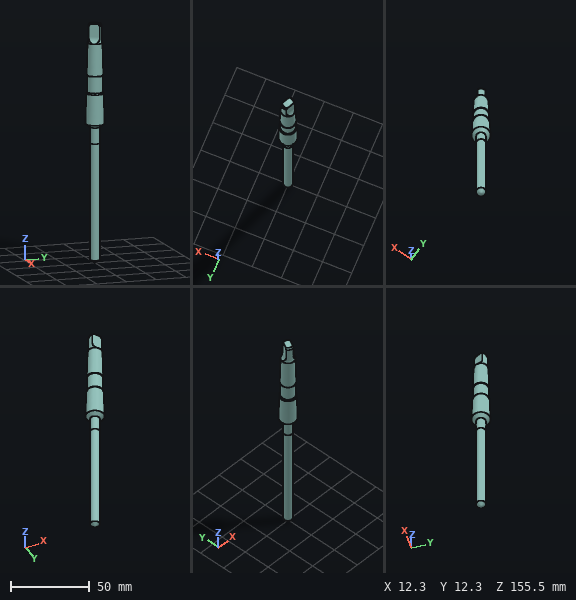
import cadquery as cq
import math

total_length = 155.5

drill_diameter = 6.4
point_angle = 118.0
cutting_length = 77.6

shank_bottom_z = 90.2
shank_bottom_cone_height = 2.2
shank_diameter = 12.3
taper_ratio = 0.05
relief_diameter = 10.1
relief_bottom_z = 110.9
relief_bottom_chamfer = 1.0
relief_top_z = 121.7
relief_top_chamfer = 0.3
taper_top_z = 142.8

tang_diameter = 8.7
tang_shoulder_height = 1.5
tang_chamfer_height = 1.4
tang_crown_height = 0.2
tang_chamfer_width = 0.8
tang_thickness = 5.0
tang_angle = -28.0
flat_end_z = 147.0
flat_runout_radius = 5.0

drill_radius = drill_diameter / 2
point_height = drill_radius / math.tan(math.radians(point_angle / 2))


def taper_radius(z):
    """Radius of the tapered shank at height z."""
    return (shank_diameter - taper_ratio * (z - shank_bottom_z)) / 2


def make_cutting_part():
    """Pointed lower end of the drill."""
    profile = [
        (0, 0),
        (drill_radius, point_height),
        (drill_radius, cutting_length),
        (0, cutting_length),
    ]
    return cq.Workplane("XZ").polyline(profile).close().revolve(360, (0, 0), (0, 1))


def make_turned_shank():
    """Neck, relieved taper and round tang with a slightly conical end, as one turned blank."""
    relief_radius = relief_diameter / 2
    tang_radius = tang_diameter / 2
    lower_taper_top_z = relief_bottom_z - relief_bottom_chamfer
    upper_taper_bottom_z = relief_top_z + relief_top_chamfer
    shoulder_top_z = taper_top_z + tang_shoulder_height
    tang_rim_z = total_length - tang_crown_height
    lower_profile = [
        (0, cutting_length),
        (drill_radius, cutting_length),
        (drill_radius, shank_bottom_z - shank_bottom_cone_height),
        (taper_radius(shank_bottom_z), shank_bottom_z),
        (taper_radius(lower_taper_top_z), lower_taper_top_z),
        (relief_radius, relief_bottom_z),
        (relief_radius, relief_top_z),
        (taper_radius(upper_taper_bottom_z), upper_taper_bottom_z),
        (taper_radius(taper_top_z), taper_top_z),
    ]
    shoulder_width = taper_radius(taper_top_z) - tang_radius
    shoulder_arc_radius = (shoulder_width**2 + tang_shoulder_height**2) / (2 * shoulder_width)
    half_arc_angle = math.asin(tang_shoulder_height / shoulder_arc_radius) / 2
    shoulder_middle = (
        tang_radius + shoulder_arc_radius * (1 - math.cos(half_arc_angle)),
        shoulder_top_z - shoulder_arc_radius * math.sin(half_arc_angle),
    )
    return (
        cq.Workplane("XZ")
        .polyline(lower_profile)
        .threePointArc(shoulder_middle, (tang_radius, shoulder_top_z))
        .lineTo(tang_radius, tang_rim_z - tang_chamfer_height)
        .lineTo(tang_radius - tang_chamfer_width, tang_rim_z)
        .lineTo(0, total_length)
        .close()
        .revolve(360, (0, 0), (0, 1))
    )


def make_flat_cutter():
    """Material removed beside one tang flat, with a round run-out at its lower end."""
    flat_x = tang_thickness / 2
    half_turn = math.sqrt(0.5) * flat_runout_radius
    arc_center_x = flat_x + flat_runout_radius
    return (
        cq.Workplane("XZ")
        .moveTo(flat_x, total_length)
        .lineTo(flat_x, flat_end_z)
        .threePointArc(
            (arc_center_x - half_turn, flat_end_z - half_turn),
            (arc_center_x, flat_end_z - flat_runout_radius),
        )
        .lineTo(arc_center_x, total_length)
        .close()
        .extrude(shank_diameter / 2, both=True)
    )


def make_shank():
    """Turned blank with two opposite flats cut on the tang."""
    shank = make_turned_shank()
    for side_angle in (tang_angle, tang_angle + 180):
        shank = shank.cut(make_flat_cutter().rotate((0, 0, 0), (0, 0, 1), side_angle))
    return shank


cutting_part = make_cutting_part()
shank = make_shank()

result = cq.Compound.makeCompound([cutting_part.val(), shank.val()])